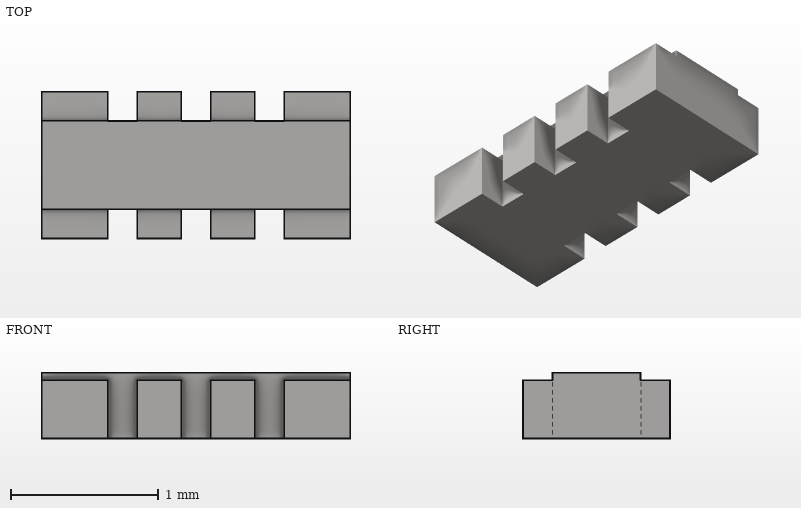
import cadquery as cq

length = 2.1
width = 1.0
height = 0.45

body_width = 0.6
top_step = 0.05
terminal_height = height - top_step
inner_terminal_length = 0.3
terminal_gap = 0.2


def box_between(x_start, x_end, y_size, z_size):
    """Box spanning two X positions, centred on Y and standing on Z = 0."""
    return (
        cq.Workplane("XY")
        .box(x_end - x_start, y_size, z_size, centered=(False, True, False))
        .translate((x_start, 0, 0))
    )


inner_start = terminal_gap / 2
inner_end = inner_start + inner_terminal_length
corner_start = inner_end + terminal_gap
corner_end = length / 2

result = box_between(-length / 2, length / 2, body_width, height)

for start, end in ((inner_start, inner_end), (corner_start, corner_end)):
    result = result.union(box_between(start, end, width, terminal_height))
    result = result.union(box_between(-end, -start, width, terminal_height))

result = result.clean()